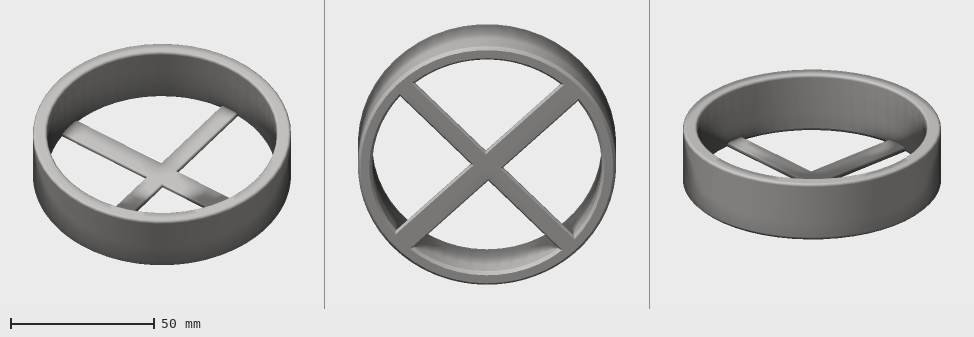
import cadquery as cq

outer_diameter = 90.0
inner_diameter = 80.0
height = 22.0
rim_fillet = 1.0

ring_base_chamfer = 1.0
ring_base_blend = 0.7
spoke_base_chamfer = 0.6
spoke_base_blend = 0.5
selection_margin = 0.1

spoke_width_along_x = 8.6
spoke_width_along_y = 7.0
spoke_thickness = 2.0
spoke_fillet = 0.7
spoke_overlap = 2.7


def soften_base(body, chamfer_size, blend_radius):
    """Chamfer all bottom edges, then round the corner between chamfer and wall."""
    chamfered = body.faces("<Z").edges().chamfer(chamfer_size)
    low_corner = (-outer_diameter, -outer_diameter, chamfer_size - selection_margin)
    high_corner = (outer_diameter, outer_diameter, chamfer_size + selection_margin)
    chamfer_top = cq.selectors.BoxSelector(low_corner, high_corner)
    return chamfered.edges(chamfer_top).fillet(blend_radius)


def make_ring():
    """Ring with a rounded top rim and softened bottom edges."""
    ring = cq.Workplane("XY").circle(outer_diameter / 2).circle(inner_diameter / 2).extrude(height)
    ring = ring.faces(">Z").edges().fillet(rim_fillet)
    return soften_base(ring, ring_base_chamfer, ring_base_blend)


def make_cross():
    """Two crossing bars with rounded top edges and softened bottom edges."""
    length = inner_diameter + 2 * spoke_overlap
    bar_x = cq.Workplane("XY").rect(length, spoke_width_along_x).extrude(spoke_thickness)
    bar_y = cq.Workplane("XY").rect(spoke_width_along_y, length).extrude(spoke_thickness)
    cross = bar_x.union(bar_y)
    cross = soften_base(cross, spoke_base_chamfer, spoke_base_blend)
    return cross.faces(">Z").edges().fillet(spoke_fillet)


result = make_ring().union(make_cross())